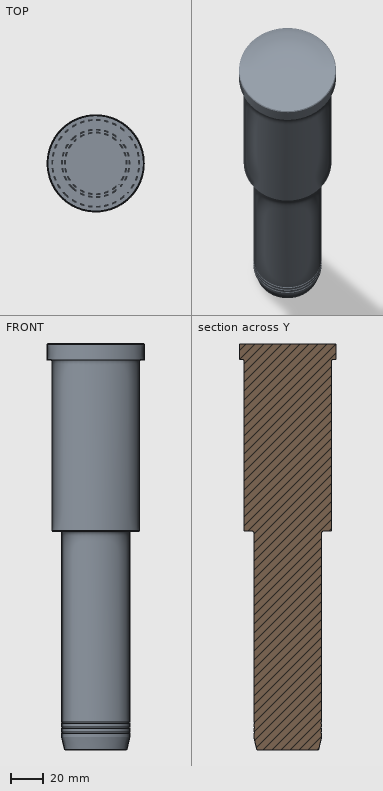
import cadquery as cq
import math

total_length = 251.0
head_radius = 30.0
head_height = 10.0
body_radius = 27.0
body_length = 106.0
shaft_radius = 21.0

edge_chamfer = 0.5
corner_fillet = 0.8

nose_height = 8.0
nose_end_radius = 19.3

groove_count = 3
groove_pitch = 3.0
groove_profile_radius = 0.5
lowest_groove_height = 10.8

head_bottom = total_length - head_height
body_bottom = head_bottom - body_length


def corner_fillet_points(radius, shoulder_height):
    """Middle and end of the quarter arc from a cylinder out to the shoulder above it."""
    middle_offset = corner_fillet * (1 - math.sqrt(0.5))
    middle = (radius + middle_offset, shoulder_height - middle_offset)
    end = (radius + corner_fillet, shoulder_height)
    return middle, end


def revolve_around_z(profile):
    """Turn a closed half profile, drawn as (radius, height), around the Z axis."""
    return profile.revolve(360, (0, 0, 0), (0, 1, 0))


def stepped_pin():
    """Nose, shaft, body and head, turned from one outline running from bottom to top."""
    outline = (
        cq.Workplane("XZ")
        .lineTo(nose_end_radius - edge_chamfer, 0)
        .lineTo(nose_end_radius, edge_chamfer)
        .lineTo(shaft_radius, nose_height)
        .lineTo(shaft_radius, body_bottom - corner_fillet)
        .threePointArc(*corner_fillet_points(shaft_radius, body_bottom))
        .lineTo(body_radius - edge_chamfer, body_bottom)
        .lineTo(body_radius, body_bottom + edge_chamfer)
        .lineTo(body_radius, head_bottom - corner_fillet)
        .threePointArc(*corner_fillet_points(body_radius, head_bottom))
        .lineTo(head_radius, head_bottom)
        .lineTo(head_radius, total_length - edge_chamfer)
        .lineTo(head_radius - edge_chamfer, total_length)
        .lineTo(0, total_length)
        .close()
    )
    return revolve_around_z(outline)


def groove_cutter(height):
    """Round-section ring centred on the shaft surface at the given height."""
    profile = cq.Workplane("XZ").center(shaft_radius, height).circle(groove_profile_radius)
    return profile.revolve(360, (-shaft_radius, 0, 0), (-shaft_radius, 1, 0))


result = stepped_pin()
for index in range(groove_count):
    result = result.cut(groove_cutter(lowest_groove_height + index * groove_pitch))